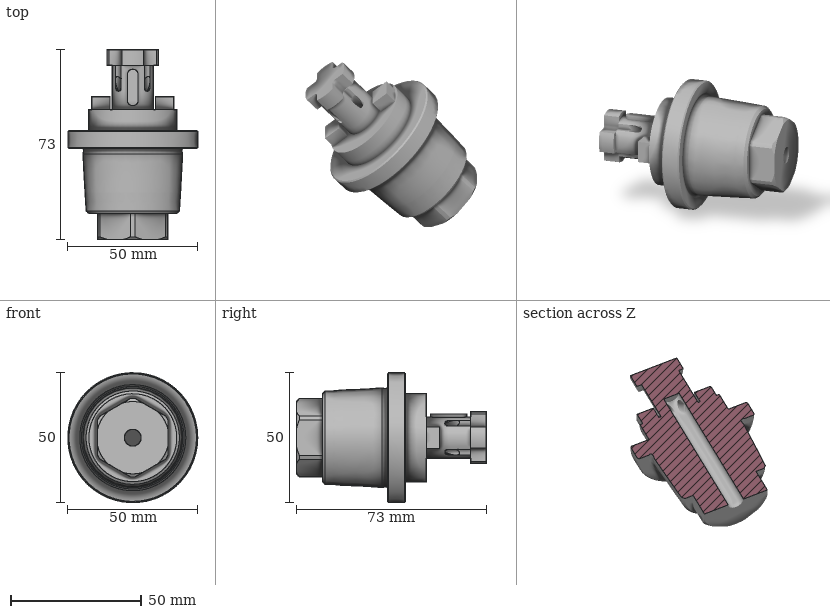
import cadquery as cq
import math


hex_length = 10.0
plug_length = 25.0
flange_thickness = 7.0
collar_length = 8.0
shaft_length = 17.0
head_length = 6.0

plug_start = hex_length
flange_start = plug_start + plug_length
collar_start = flange_start + flange_thickness
shaft_start = collar_start + collar_length
head_start = shaft_start + shaft_length
head_end = head_start + head_length

plug_end_radius = 16.9
plug_chamfer = 1.05
plug_nose_radius = plug_end_radius + plug_chamfer
nose_cone_length = 8.0
plug_middle_radius = 18.4
plug_root_radius = 19.2

relief_radius = 19.0
relief_width = 2.0
relief_taper_length = 0.7
relief_fillet_start = 0.4
relief_face_depth = 0.25
relief_floor_radius = 19.75
relief_outer_radius = 20.4

flange_radius = 25.0
flange_chamfer = 0.5
collar_radius = 17.0
shaft_radius = 8.0

hex_across_flats = 27.0
hex_corner_radius = 15.1
hex_chamfer_radius = 13.9
hex_chamfer_length = 1.1

head_radius = 10.0
arm_width = 8.1
arm_corner_fillet = 1.35

key_width = 4.2
key_length = 14.0
key_top = 9.15
key_centre_y = 58.5

lug_inner_x = 8.7
lug_outer_x = 15.8
lug_length = 5.0
lug_height = 8.2

notch_offset = 4.55
notch_end_y = 58.5
feed_hole_radius = 1.5
feed_hole_tilt = 62.0
bore_radius = 3.2
bore_depth = 57.0

quarter_turns = [0, 90, 180, 270]
half_turns = [0, 180]
diagonal_angle = 45


def y_cylinder(radius, start, length):
    """Cylinder about the Y axis, from Y = start to Y = start + length."""
    return cq.Workplane("XZ", origin=(0, start, 0)).circle(radius).extrude(-length)


def y_box(x_min, x_max, y_min, y_max, z_min, z_max):
    """Axis-aligned box between two corners."""
    size = (x_max - x_min, y_max - y_min, z_max - z_min)
    return cq.Workplane("XY").box(*size, centered=False).translate((x_min, y_min, z_min))


def turn_about_y(shape, angle):
    return shape.rotate((0, 0, 0), (0, 1, 0), angle)


def make_turned_body():
    """Plug, relief groove, flange, collar and shaft as one revolved profile."""
    relief_start = flange_start - relief_width
    fillet_start = flange_start - relief_fillet_start
    relief_floor = flange_start + relief_face_depth
    fillet_height = relief_floor_radius - relief_radius
    fillet_length = relief_floor - fillet_start
    arc_share = 1 - math.sqrt(0.5)
    fillet_middle = (
        relief_radius + arc_share * fillet_height,
        relief_floor - arc_share * fillet_length,
    )
    profile = (
        cq.Workplane("XY")
        .moveTo(0, plug_start)
        .lineTo(plug_end_radius, plug_start)
        .lineTo(plug_nose_radius, plug_start + plug_chamfer)
        .lineTo(plug_middle_radius, plug_start + nose_cone_length)
        .lineTo(plug_root_radius, relief_start)
        .lineTo(relief_radius, relief_start + relief_taper_length)
        .lineTo(relief_radius, fillet_start)
        .threePointArc(fillet_middle, (relief_floor_radius, relief_floor))
        .lineTo(relief_outer_radius, flange_start)
        .lineTo(flange_radius - flange_chamfer, flange_start)
        .lineTo(flange_radius, flange_start + flange_chamfer)
        .lineTo(flange_radius, collar_start - flange_chamfer)
        .lineTo(flange_radius - flange_chamfer, collar_start)
        .lineTo(collar_radius, collar_start)
        .lineTo(collar_radius, shaft_start)
        .lineTo(shaft_radius, shaft_start)
        .lineTo(shaft_radius, head_start)
        .lineTo(0, head_start)
        .close()
    )
    return profile.revolve(360, (0, 0), (0, 1))


def make_hexagon():
    """Hexagon with corners up and down, turned round and chamfered at its outer face."""
    corner_distance = hex_across_flats / math.cos(math.radians(30))
    prism = cq.Workplane("XZ").polygon(6, corner_distance).extrude(-hex_length)
    prism = turn_about_y(prism, 30)
    envelope = (
        cq.Workplane("XY")
        .lineTo(hex_chamfer_radius, 0)
        .lineTo(hex_corner_radius, hex_chamfer_length)
        .lineTo(hex_corner_radius, hex_length)
        .lineTo(0, hex_length)
        .close()
        .revolve(360, (0, 0), (0, 1))
    )
    return prism.intersect(envelope)


def make_head():
    """Four-armed cross with round arm ends and filleted inner corners."""
    half = arm_width / 2
    arm_x = y_box(-head_radius, head_radius, head_start, head_end, -half, half)
    arm_z = y_box(-half, half, head_start, head_end, -head_radius, head_radius)
    cross = arm_x.union(arm_z)
    inner_corners = cq.selectors.BoxSelector(
        (-arm_width, head_start, -arm_width), (arm_width, head_end, arm_width)
    )
    cross = cross.edges("|Y").edges(inner_corners).fillet(arm_corner_fillet)
    return cross.intersect(y_cylinder(head_radius, head_start, head_length))


def make_key():
    """Round-ended key standing on the shaft."""
    return (
        cq.Workplane("XY")
        .center(0, key_centre_y)
        .slot2D(key_length, key_width, 90)
        .extrude(key_top)
    )


def make_lug():
    """Driving lug on the +X side of the collar."""
    half = lug_height / 2
    return y_box(lug_inner_x, lug_outer_x, shaft_start, shaft_start + lug_length, -half, half)


def make_notch():
    """Right-angled notch along the shaft in the +X +Z corner, with a rounded end."""
    corner = y_box(notch_offset, shaft_radius, shaft_start, head_start, notch_offset, shaft_radius)
    corner_radius = notch_offset * math.sqrt(2)
    outer_z = math.sqrt(shaft_radius**2 - notch_offset**2)
    half_width = (outer_z - notch_offset) / math.sqrt(2)
    rounded_slot = (
        cq.Workplane("XY")
        .moveTo(-half_width, head_start)
        .lineTo(-half_width, notch_end_y)
        .threePointArc((0, notch_end_y - half_width), (half_width, notch_end_y))
        .lineTo(half_width, head_start)
        .close()
        .extrude(shaft_radius - corner_radius)
        .translate((0, 0, corner_radius))
    )
    return corner.intersect(turn_about_y(rounded_slot, diagonal_angle))


def make_feed_hole():
    """Slanted hole from the centre bore to the end of the notch in the +X +Z corner."""
    tilt = math.radians(feed_hole_tilt)
    direction = cq.Vector(0, math.sin(tilt), math.cos(tilt))
    exit_point = cq.Vector(0, notch_end_y, notch_offset * math.sqrt(2))
    length_inside = exit_point.z / direction.z
    start_point = exit_point - direction * length_inside
    hole = cq.Solid.makeCylinder(feed_hole_radius, 2 * length_inside, start_point, direction)
    return turn_about_y(cq.Workplane(hole), diagonal_angle)


def build():
    body = make_turned_body().union(make_hexagon()).union(make_key())
    for angle in half_turns:
        body = body.union(turn_about_y(make_lug(), angle))
    for angle in quarter_turns:
        body = body.cut(turn_about_y(make_notch(), angle))
        body = body.cut(turn_about_y(make_feed_hole(), angle))
    body = body.union(make_head())
    return body.cut(y_cylinder(bore_radius, 0, bore_depth))


result = build()